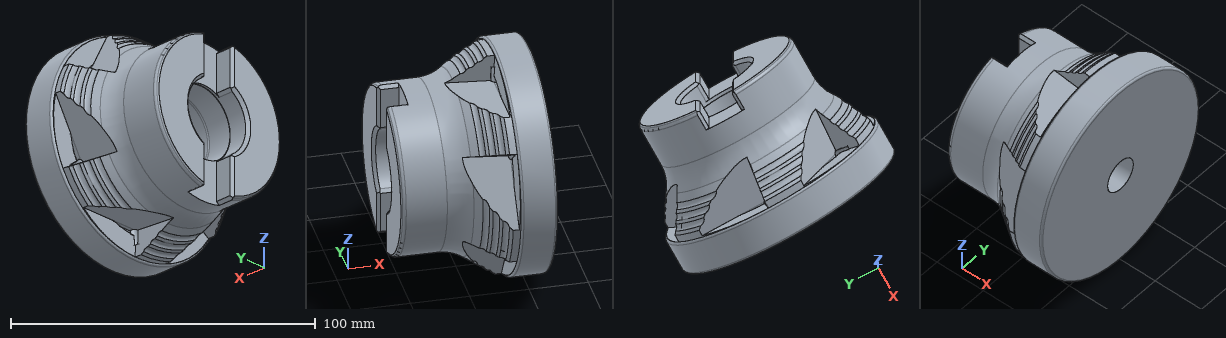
import cadquery as cq
import math

length = 50.2
flange_radius = 40.0

flange_start = 37.9
flange_edge = 0.8
land_radius = flange_radius - flange_edge
land_start = 35.4
neck_radius = 58.0 / 2
neck_end = 15.45
cone_start = 23.85
cone_start_radius = 62.9 / 2
cone_slope = (land_radius - cone_start_radius) / (land_start - cone_start)
face_chamfer = 0.5
face_blend_radius = 1.6

groove_starts = (26.5, 29.45, 32.3)
groove_width = 1.9
groove_radius = 2.0

bore_radius = 27.0 / 2
bore_depth = 38.8
bore_chamfer = 1.2
relief_radius = 27.3 / 2
relief_start = 8.5
relief_end = 18.1
relief_taper = 0.65
screw_radius = 13.0 / 2
screw_chamfer = 1.0

slot_half_width = 6.1
slot_depth = 7.3
slot_chamfer = 1.1

pocket_angles = (0, 57.5, 120.5, 180, 240.5, 297.5)
pocket_tip_x = 21.3
pocket_tip_y = 0.25
pocket_tip_z = 30.2
pocket_wall_angle = 4.5
pocket_floor_angle = 1.5
pocket_end_x = 37.45
undercut_radius = 1.6
undercut_centre_radius = 30.25

coolant_radius = 3.0 / 2
coolant_inlet = cq.Vector(39.2, -4.4, 12.25)
coolant_tip = cq.Vector(37.9, 0.0, 34.7)

reach = 2 * flange_radius


def tan_deg(angle):
    return math.tan(math.radians(angle))


def cone_radius_at(x):
    return cone_start_radius + (x - cone_start) * cone_slope


def revolve_about_x(profile):
    return profile.close().revolve(360, (0, 0, 0), (1, 0, 0))


def make_body():
    neck_rise = cone_start_radius - neck_radius
    neck_run = cone_start - neck_end
    neck_arc_radius = (neck_run**2 + neck_rise**2) / (2 * neck_rise)

    blend_run = face_blend_radius * math.sin(math.radians(45))
    blend_rise = face_blend_radius - blend_run
    chamfer_top_radius = neck_radius - blend_rise

    profile = (
        cq.Workplane("XY")
        .lineTo(0, chamfer_top_radius - face_chamfer)
        .lineTo(face_chamfer, chamfer_top_radius)
        .radiusArc((face_chamfer + blend_run, neck_radius), face_blend_radius)
        .lineTo(neck_end, neck_radius)
        .radiusArc((cone_start, cone_start_radius), -neck_arc_radius)
    )
    for start in groove_starts:
        end = start + groove_width
        profile = profile.lineTo(start, cone_radius_at(start))
        profile = profile.radiusArc((end, cone_radius_at(end)), -groove_radius)
    profile = (
        profile.lineTo(land_start, land_radius)
        .lineTo(flange_start, land_radius)
        .radiusArc((flange_start + flange_edge, flange_radius), flange_edge)
        .lineTo(length - flange_edge, flange_radius)
        .radiusArc((length, flange_radius - flange_edge), flange_edge)
        .lineTo(length, 0)
    )
    return revolve_about_x(profile)


def make_bore():
    profile = (
        cq.Workplane("XY")
        .lineTo(0, bore_radius + bore_chamfer)
        .lineTo(bore_chamfer, bore_radius)
        .lineTo(relief_start, bore_radius)
        .lineTo(relief_start, relief_radius)
        .lineTo(relief_end, relief_radius)
        .lineTo(relief_end + relief_taper, bore_radius)
        .lineTo(bore_depth, bore_radius)
        .lineTo(bore_depth, screw_radius + screw_chamfer)
        .lineTo(bore_depth + screw_chamfer, screw_radius)
        .lineTo(length, screw_radius)
        .lineTo(length, 0)
    )
    return revolve_about_x(profile)


def make_drive_slot():
    mouth_half_width = slot_half_width + slot_chamfer
    slot = (
        cq.Workplane("XY")
        .moveTo(0, -mouth_half_width)
        .lineTo(slot_chamfer, -slot_half_width)
        .lineTo(slot_depth, -slot_half_width)
        .lineTo(slot_depth, slot_half_width)
        .lineTo(slot_chamfer, slot_half_width)
        .lineTo(0, mouth_half_width)
        .close()
        .extrude(reach, both=True)
    )

    outer_z = math.sqrt(neck_radius**2 - mouth_half_width**2)
    inner_z = math.sqrt(bore_radius**2 - mouth_half_width**2)
    corner_size = 2 * slot_chamfer
    for side_y in (-slot_half_width, slot_half_width):
        for z in (outer_z - slot_chamfer, inner_z + slot_chamfer):
            outward = 1 if z > neck_radius / 2 else -1
            for end in (-1, 1):
                start_z = end * z
                end_z = end * (z + outward * corner_size)
                corner = (
                    cq.Workplane("YZ")
                    .polyline([
                        (side_y, start_z),
                        (side_y + math.copysign(corner_size, side_y), end_z),
                        (side_y, end_z),
                    ])
                    .close()
                    .extrude(slot_depth)
                )
                slot = slot.union(corner)
    return slot


def make_pocket():
    wall_start_y = pocket_tip_y + pocket_tip_x * tan_deg(pocket_wall_angle)
    wall_end_y = wall_start_y - length * tan_deg(pocket_wall_angle)
    plan = (
        cq.Workplane("XY")
        .polyline([(0, wall_start_y), (length, wall_end_y), (length, -reach), (0, -reach)])
        .close()
        .extrude(reach)
    )

    floor_start_z = pocket_tip_z + pocket_tip_x * tan_deg(pocket_floor_angle)
    floor_end_z = floor_start_z - pocket_end_x * tan_deg(pocket_floor_angle)
    side = (
        cq.Workplane("XZ")
        .polyline([
            (0, floor_start_z),
            (pocket_end_x, floor_end_z),
            (flange_start, land_radius),
            (flange_start, reach),
            (0, reach),
        ])
        .close()
        .extrude(reach, both=True)
    )

    undercut = (
        cq.Workplane("XY")
        .center(pocket_end_x, undercut_centre_radius)
        .circle(undercut_radius)
        .revolve(360, (-pocket_end_x, -undercut_centre_radius, 0), (0, -undercut_centre_radius, 0))
    )
    beyond_floor = (
        cq.Workplane("XY")
        .box(reach, 2 * reach, reach, centered=(False, True, False))
        .translate((pocket_end_x, 0, floor_end_z))
    )
    return plan.intersect(side.union(undercut.intersect(beyond_floor)))


def make_coolant_hole():
    axis = coolant_tip - coolant_inlet
    return cq.Workplane(cq.Solid.makeCylinder(coolant_radius, axis.Length, coolant_inlet, axis))


result = make_body().cut(make_bore()).cut(make_drive_slot())

pocket = make_pocket()
coolant_hole = make_coolant_hole()
for angle in pocket_angles:
    for cutter in (pocket, coolant_hole):
        result = result.cut(cutter.rotate((0, 0, 0), (1, 0, 0), angle))